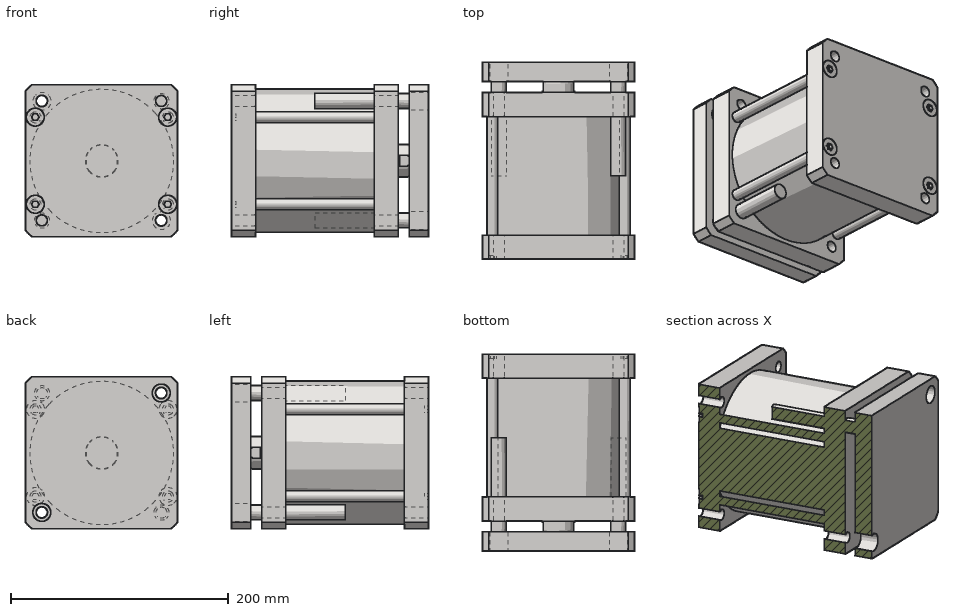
import cadquery as cq

plate_side = 140.0
corner_turning_diameter = 189.5
total_length = 181.0
front_cap_thickness = 22.0
rear_cap_thickness = 22.3
tool_plate_thickness = 18.0
tool_plate_gap = 9.8

front_face = -total_length / 2
rear_face = total_length / 2
front_cap_back = front_face + front_cap_thickness
tool_plate_front = rear_face - tool_plate_thickness
rear_cap_back = tool_plate_front - tool_plate_gap
rear_cap_front = rear_cap_back - rear_cap_thickness

barrel_diameter = 132.0
tie_rod_diameter = 10.1
tie_rod_x = 60.8
tie_rod_z = 40.0

head_diameter = 16.5
head_recess = 0.2
socket_across_corners = 6.9
socket_depth = 3.6

corner_offset = 54.8
mounting_hole_diameter = 10.1
tool_plate_hole_diameter = 16.5
guide_pin_diameter = 14.0
guide_pin_end = -14.0

piston_rod_diameter = 30.0
across_flats = 28.2
flat_base = 1.0
rod_end_chamfer_length = 1.6
rod_end_chamfer_depth = 0.4

all_corners = [(sx * corner_offset, sz * corner_offset) for sx in (-1, 1) for sz in (-1, 1)]
guide_corners = [(x, z) for x, z in all_corners if x * z > 0]
open_corners = [(x, z) for x, z in all_corners if x * z < 0]
tie_rod_points = [(sx * tie_rod_x, sz * tie_rod_z) for sx in (-1, 1) for sz in (-1, 1)]


def section(y):
    """XZ sketch plane at position y whose extrusions run toward +Y."""
    return cq.Workplane(cq.Plane(origin=(0, y, 0), xDir=(1, 0, 0), normal=(0, 1, 0)))


def at(points):
    """Local sketch points for (x, z) positions; local y points toward -Z."""
    return [(x, -z) for x, z in points]


def cylinders(points, diameter, y_start, y_end):
    return section(y_start).pushPoints(at(points)).circle(diameter / 2).extrude(y_end - y_start)


def plate(y_start, y_end):
    block = section(y_start).rect(plate_side, plate_side).extrude(y_end - y_start)
    return block.intersect(cylinders([(0, 0)], corner_turning_diameter, y_start, y_end))


def front_cap():
    holes = cylinders(all_corners, mounting_hole_diameter, front_face, front_cap_back)
    recesses = cylinders(tie_rod_points, head_diameter, front_face, front_face + head_recess)
    sockets = (
        section(front_face)
        .pushPoints(at(tie_rod_points))
        .polygon(6, socket_across_corners)
        .extrude(head_recess + socket_depth)
    )
    return plate(front_face, front_cap_back).cut(holes).cut(recesses).cut(sockets)


def rear_cap():
    holes = cylinders(open_corners, mounting_hole_diameter, rear_cap_front, rear_cap_back)
    return plate(rear_cap_front, rear_cap_back).cut(holes)


def tool_plate():
    holes = cylinders(open_corners, tool_plate_hole_diameter, tool_plate_front, rear_face)
    return plate(tool_plate_front, rear_face).cut(holes)


def piston_rod():
    radius = piston_rod_diameter / 2
    profile = [
        (0, rear_cap_back),
        (radius, rear_cap_back),
        (radius, tool_plate_front - rod_end_chamfer_length),
        (radius - rod_end_chamfer_depth, tool_plate_front),
        (0, tool_plate_front),
    ]
    rod = cq.Workplane("XY").polyline(profile).close().revolve(360, (0, 0, 0), (0, 1, 0))
    flats_start = rear_cap_back + flat_base
    flats = section(flats_start).rect(across_flats, piston_rod_diameter).extrude(tool_plate_front - flats_start)
    base = cylinders([(0, 0)], piston_rod_diameter, rear_cap_back, flats_start)
    return rod.intersect(flats.union(base))


barrel = cylinders([(0, 0)], barrel_diameter, front_cap_back, rear_cap_front)
tie_rods = cylinders(tie_rod_points, tie_rod_diameter, front_cap_back, rear_cap_front)
guide_pins = cylinders(guide_corners, guide_pin_diameter, guide_pin_end, tool_plate_front)

result = (
    front_cap()
    .union(barrel)
    .union(tie_rods)
    .union(rear_cap())
    .union(piston_rod())
    .union(guide_pins)
    .union(tool_plate())
)